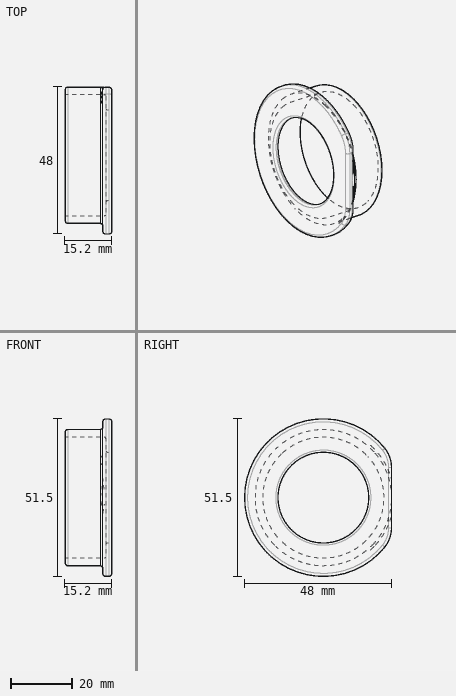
import cadquery as cq
import math

TOTAL_LENGTH = 15.23
FLANGE_THICKNESS = 3.0
BARREL_RADIUS = 44.55 / 2
POCKET_RADIUS = 39.55 / 2
BORE_RADIUS = 29.56 / 2
FLANGE_RADIUS = 51.5 / 2
FLOOR_THICKNESS = 2.0

FLANGE_CORNER_RADIUS = 10.0
RIM_ROUND = 1.0
MOUTH_ROUND = 0.85
ROOT_FILLET = 0.75
FLOOR_FILLET = 0.5
BORE_ROUND = 0.75

FLANGE_FACE_X = TOTAL_LENGTH - FLANGE_THICKNESS
FLOOR_X = TOTAL_LENGTH - FLOOR_THICKNESS
BARREL_END_X = FLANGE_FACE_X + RIM_ROUND
FLAT_Y = BARREL_RADIUS
HALF_ARC = math.sqrt(0.5)


def revolve_about_x(profile):
    """Turn a closed (X, radius) profile about the X axis."""
    return profile.close().revolve(360, (0, 0, 0), (1, 0, 0))


def make_flange():
    """Round disc with one flat on +Y, blended by corner arcs, all rim edges rounded."""
    corner_y = FLAT_Y - FLANGE_CORNER_RADIUS
    centre_distance = FLANGE_RADIUS - FLANGE_CORNER_RADIUS
    corner_z = math.sqrt(centre_distance**2 - corner_y**2)
    join_scale = FLANGE_RADIUS / centre_distance
    join_y = corner_y * join_scale
    join_z = corner_z * join_scale
    mid_angle = math.atan2(corner_z, corner_y) / 2
    mid_y = corner_y + FLANGE_CORNER_RADIUS * math.cos(mid_angle)
    mid_z = corner_z + FLANGE_CORNER_RADIUS * math.sin(mid_angle)

    return (
        cq.Workplane("YZ", origin=(FLANGE_FACE_X, 0, 0))
        .moveTo(FLAT_Y, -corner_z)
        .lineTo(FLAT_Y, corner_z)
        .threePointArc((mid_y, mid_z), (join_y, join_z))
        .threePointArc((-FLANGE_RADIUS, 0), (join_y, -join_z))
        .threePointArc((mid_y, -mid_z), (FLAT_Y, -corner_z))
        .close()
        .extrude(FLANGE_THICKNESS)
        .faces("<X or >X")
        .edges()
        .fillet(RIM_ROUND)
    )


def make_barrel():
    """Solid barrel with a rounded mouth edge and a concave root fillet cut off level with the flat."""
    mouth_mid = MOUTH_ROUND * (1 - HALF_ARC)
    root_mid = ROOT_FILLET * (1 - HALF_ARC)
    barrel = revolve_about_x(
        cq.Workplane("XY")
        .moveTo(0, 0)
        .lineTo(0, BARREL_RADIUS - MOUTH_ROUND)
        .threePointArc((mouth_mid, BARREL_RADIUS - mouth_mid), (MOUTH_ROUND, BARREL_RADIUS))
        .lineTo(FLANGE_FACE_X - ROOT_FILLET, BARREL_RADIUS)
        .threePointArc(
            (FLANGE_FACE_X - root_mid, BARREL_RADIUS + root_mid),
            (FLANGE_FACE_X, BARREL_RADIUS + ROOT_FILLET),
        )
        .lineTo(FLANGE_FACE_X, BARREL_RADIUS)
        .lineTo(BARREL_END_X, BARREL_RADIUS)
        .lineTo(BARREL_END_X, 0)
    )
    beyond_flat = cq.Workplane("XY").box(
        TOTAL_LENGTH, FLANGE_RADIUS, 2 * FLANGE_RADIUS, centered=(False, False, True)
    )
    return barrel.cut(beyond_flat.translate((0, FLAT_Y, 0)))


def make_opening():
    """Pocket from the mouth with a filleted floor, then a through bore rounded at both ends."""
    floor_mid = FLOOR_FILLET * (1 - HALF_ARC)
    bore_mid = BORE_ROUND * (1 - HALF_ARC)
    return revolve_about_x(
        cq.Workplane("XY")
        .moveTo(0, 0)
        .lineTo(0, POCKET_RADIUS)
        .lineTo(FLOOR_X - FLOOR_FILLET, POCKET_RADIUS)
        .threePointArc(
            (FLOOR_X - floor_mid, POCKET_RADIUS - floor_mid),
            (FLOOR_X, POCKET_RADIUS - FLOOR_FILLET),
        )
        .lineTo(FLOOR_X, BORE_RADIUS + BORE_ROUND)
        .threePointArc(
            (FLOOR_X + bore_mid, BORE_RADIUS + bore_mid),
            (FLOOR_X + BORE_ROUND, BORE_RADIUS),
        )
        .lineTo(TOTAL_LENGTH - BORE_ROUND, BORE_RADIUS)
        .threePointArc(
            (TOTAL_LENGTH - bore_mid, BORE_RADIUS + bore_mid),
            (TOTAL_LENGTH, BORE_RADIUS + BORE_ROUND),
        )
        .lineTo(TOTAL_LENGTH, 0)
    )


result = make_flange().union(make_barrel()).cut(make_opening())